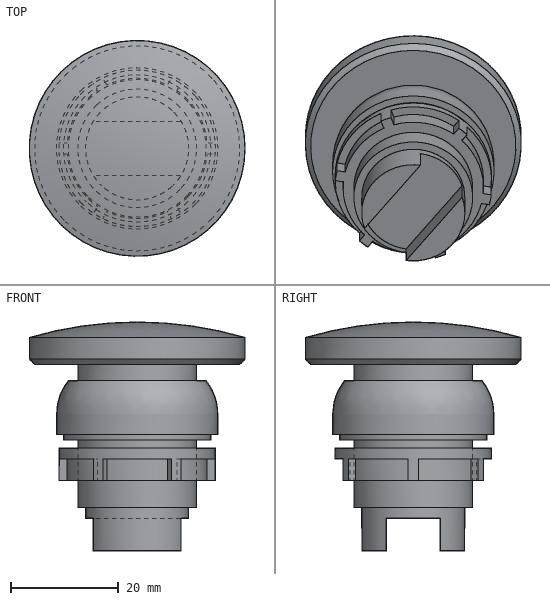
import cadquery as cq
import math

notch_top = 6.0
tip_top = 8.0
nut_bottom = 13.0
flange_bottom = 17.0
nut_top = 19.0
gasket_bottom = 20.5
bezel_bottom = 21.5
bulge_bottom = 25.25
bezel_top = 31.5
cap_bottom = 34.5
rim_top = 39.5
dome_top = 42.38

cap_radius = 20.0
cap_chamfer = 1.0
barrel_radius = 11.0
bezel_radius = 14.95
bulge_radius = 10.0
gasket_radius = 13.65
tip_radius = 9.55
notch_width = 10.0

nut_radius = 13.0
flange_radius = 14.5
lug_count = 6
lug_width = 2.0


def disc(radius, bottom, top):
    """Cylinder on the Z axis between two heights."""
    return cq.Workplane("XY").workplane(offset=bottom).circle(radius).extrude(top - bottom)


def bulge_radius_at(height):
    """Radius of the rounded bezel side, tangent to its straight side at bulge_bottom."""
    rise = height - bulge_bottom
    return bezel_radius - bulge_radius + math.sqrt(bulge_radius**2 - rise**2)


def make_cap():
    """Mushroom cap: chamfered underside, straight rim and domed top."""
    dome_rise = dome_top - rim_top
    dome_radius = (cap_radius**2 + dome_rise**2) / (2 * dome_rise)
    mid_radius = cap_radius / 2
    mid_height = dome_top - dome_radius + math.sqrt(dome_radius**2 - mid_radius**2)
    profile = (
        cq.Workplane("XZ")
        .moveTo(0, cap_bottom)
        .lineTo(cap_radius - cap_chamfer, cap_bottom)
        .lineTo(cap_radius, cap_bottom + cap_chamfer)
        .lineTo(cap_radius, rim_top)
        .threePointArc((mid_radius, mid_height), (0, dome_top))
        .close()
    )
    return profile.revolve(360, (0, 0, 0), (0, 1, 0))


def make_bezel():
    """Bezel collar: straight below, rounded inwards towards its flat top."""
    mid_height = (bulge_bottom + bezel_top) / 2
    profile = (
        cq.Workplane("XZ")
        .moveTo(0, bezel_bottom)
        .lineTo(bezel_radius, bezel_bottom)
        .lineTo(bezel_radius, bulge_bottom)
        .threePointArc((bulge_radius_at(mid_height), mid_height), (bulge_radius_at(bezel_top), bezel_top))
        .lineTo(0, bezel_top)
        .close()
    )
    return profile.revolve(360, (0, 0, 0), (0, 1, 0))


def make_tip():
    """Foot of the button, split into two legs by a notch along X."""
    notch = cq.Workplane("XY").box(2 * tip_radius, notch_width, notch_top, centered=(True, True, False))
    return disc(tip_radius, 0, tip_top).cut(notch)


def make_button():
    """Cap, bezel, gasket ring, barrel and foot as one body."""
    barrel = disc(barrel_radius, tip_top, cap_bottom)
    gasket = disc(gasket_radius, gasket_bottom, bezel_bottom)
    return barrel.union(gasket).union(make_bezel()).union(make_cap()).union(make_tip())


def make_nut():
    """Flanged ring around the barrel with lugs below the flange."""
    nut = disc(nut_radius, nut_bottom, nut_top)
    nut = nut.union(disc(flange_radius, flange_bottom, nut_top))
    lug_bar = (
        cq.Workplane("XY")
        .workplane(offset=nut_bottom)
        .rect(2 * flange_radius, lug_width)
        .extrude(nut_top - nut_bottom)
        .intersect(disc(flange_radius, nut_bottom, nut_top))
    )
    for index in range(lug_count // 2):
        nut = nut.union(lug_bar.rotate((0, 0, 0), (0, 0, 1), index * 360 / lug_count))
    return nut.cut(disc(barrel_radius, nut_bottom, nut_top))


button = make_button()
nut = make_nut()

result = cq.Compound.makeCompound([button.val(), nut.val()])